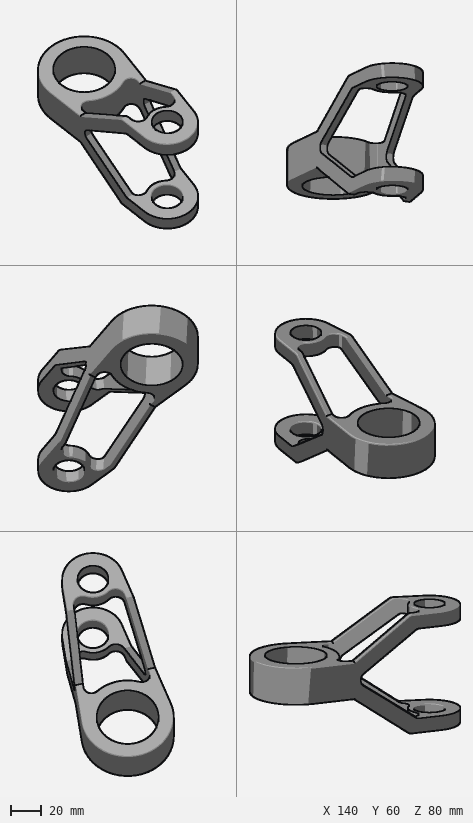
import cadquery as cq
import math

center_distance = 90.0
hub_radius = 30.0
hub_bore = 40.0
hub_height = 25.0
eye_radius = 20.0
eye_bore = 20.0
eye_thickness = 10.0
total_height = 80.0

arm_start_x = 31.5
arm_end_x = 70.2
inner_bend_x = 75.3
crotch_x = 32.2
crotch_radius = 5.0
bend_radius = 4.0

arm_width = 5.0
hub_rim_radius = 28.0
eye_rim_radius = 14.0
hub_corner_radius = 5.0
eye_corner_radius = 6.0

edge_radius = 1.0

half_hub = hub_height / 2
half_total = total_height / 2
half_gap = half_total - eye_thickness
lean = math.asin((hub_radius - eye_radius) / center_distance)


def tangent_point(center_x, radius):
    """Upper point where a common tangent of hub and eye touches a circle."""
    return center_x + radius * math.sin(lean), radius * math.cos(lean)


def cylinder(center_x, radius):
    return (
        cq.Workplane("XY")
        .center(center_x, 0)
        .circle(radius)
        .extrude(half_total, both=True)
    )


def tapered_plan():
    """Prism with the hub and eye outlines joined by their common tangents."""
    hub_x, hub_y = tangent_point(0, hub_radius)
    eye_x, eye_y = tangent_point(center_distance, eye_radius)
    return (
        cq.Workplane("XY")
        .moveTo(hub_x, hub_y)
        .lineTo(eye_x, eye_y)
        .threePointArc((center_distance + eye_radius, 0), (eye_x, -eye_y))
        .lineTo(hub_x, -hub_y)
        .threePointArc((-hub_radius, 0), (hub_x, hub_y))
        .close()
        .extrude(half_total, both=True)
    )


def fork_profile():
    """Y-shaped side profile extruded across the full width."""
    tip_x = center_distance + eye_radius
    profile = (
        cq.Workplane("XZ")
        .moveTo(-hub_radius, -half_hub)
        .lineTo(arm_start_x, -half_hub)
        .lineTo(arm_end_x, -half_total)
        .lineTo(tip_x, -half_total)
        .lineTo(tip_x, -half_gap)
        .lineTo(inner_bend_x, -half_gap)
        .lineTo(crotch_x, 0)
        .lineTo(inner_bend_x, half_gap)
        .lineTo(tip_x, half_gap)
        .lineTo(tip_x, half_total)
        .lineTo(arm_end_x, half_total)
        .lineTo(arm_start_x, half_hub)
        .lineTo(-hub_radius, half_hub)
        .close()
        .extrude(hub_radius, both=True)
    )
    rounded_corners = [
        (crotch_x, 0, crotch_radius),
        (arm_end_x, half_total, bend_radius),
        (arm_end_x, -half_total, bend_radius),
        (inner_bend_x, half_gap, bend_radius),
        (inner_bend_x, -half_gap, bend_radius),
    ]
    for x, z, radius in rounded_corners:
        corner = cq.selectors.NearestToPointSelector((x, 0, z))
        profile = profile.edges("|Y").edges(corner).fillet(radius)
    return profile


def corner_center(rim_radius, wall_distance, corner_radius, wall_angle):
    """Corner arc center, relative to the rim, touching both the rim and the side wall."""
    reach = rim_radius + corner_radius
    angle = wall_angle - math.acos((wall_distance - corner_radius) / reach)
    return reach * math.cos(angle), reach * math.sin(angle)


def window():
    """Through window with concave ends around the hub and the eye."""
    hub_wall = hub_radius - arm_width
    eye_wall = eye_radius - arm_width
    hub_dx, hub_dy = corner_center(hub_rim_radius, hub_wall, hub_corner_radius, math.pi / 2 - lean)
    eye_dx, eye_dy = corner_center(eye_rim_radius, eye_wall, eye_corner_radius, math.pi / 2 + lean)
    corners = [
        (hub_dx, hub_dy, hub_corner_radius),
        (center_distance - eye_dx, eye_dy, eye_corner_radius),
    ]

    wall_points = [
        (x + radius * math.sin(lean), y + radius * math.cos(lean)) for x, y, radius in corners
    ]
    rim_points = [
        (hub_dx * hub_rim_radius / (hub_rim_radius + hub_corner_radius),
         hub_dy * hub_rim_radius / (hub_rim_radius + hub_corner_radius)),
        (center_distance - eye_dx * eye_rim_radius / (eye_rim_radius + eye_corner_radius),
         eye_dy * eye_rim_radius / (eye_rim_radius + eye_corner_radius)),
    ]
    (hub_wall_x, hub_wall_y), (eye_wall_x, eye_wall_y) = wall_points
    (hub_rim_x, hub_rim_y), (eye_rim_x, eye_rim_y) = rim_points
    return (
        cq.Workplane("XY")
        .moveTo(hub_wall_x, hub_wall_y)
        .lineTo(eye_wall_x, eye_wall_y)
        .radiusArc((eye_rim_x, eye_rim_y), eye_corner_radius)
        .threePointArc((center_distance - eye_rim_radius, 0), (eye_rim_x, -eye_rim_y))
        .radiusArc((eye_wall_x, -eye_wall_y), eye_corner_radius)
        .lineTo(hub_wall_x, -hub_wall_y)
        .radiusArc((hub_rim_x, -hub_rim_y), hub_corner_radius)
        .threePointArc((hub_rim_radius, 0), (hub_rim_x, hub_rim_y))
        .radiusArc((hub_wall_x, hub_wall_y), hub_corner_radius)
        .close()
        .extrude(half_total, both=True)
    )


def faces_outward(face):
    """True for a face of the outer skin, above or below the plane of symmetry."""
    return face.normalAt().z * face.Center().z > 0.1


def round_outer_edges(body):
    """Round the outline and window edges of the outer skin, not its bend lines."""
    skin = body.faces().filter(faces_outward)
    return skin.edges("not |Y").fillet(edge_radius)


def round_lower_bore(body):
    """Round both rims of the bore in the lower eye."""
    for z in (-half_total, -half_gap):
        rim = cq.selectors.NearestToPointSelector((center_distance, 0, z))
        body = body.edges("%CIRCLE").edges(rim).fillet(edge_radius)
    return body


body = tapered_plan().intersect(fork_profile()).cut(window())
body = round_outer_edges(body)
body = body.cut(cylinder(0, hub_bore / 2)).cut(cylinder(center_distance, eye_bore / 2))
result = round_lower_bore(body)